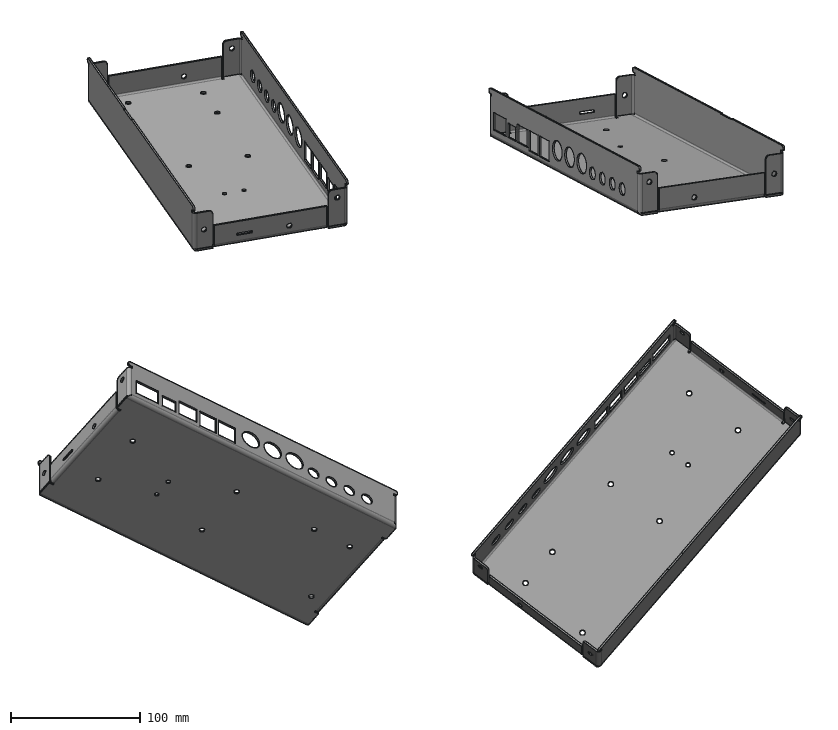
import cadquery as cq

LENGTH = 250.0
WIDTH = 127.0
HEIGHT = 39.5
SHEET = 1.5
BEND_RADIUS = 3.0
INNER_RADIUS = BEND_RADIUS - SHEET

FLANGE_WIDTH = 92.0
FLANGE_HEIGHT = 20.0
RELIEF_GAP = 1.4
RELIEF_DEPTH = 3.5

TAB_TOP = 33.5
TAB_FLOOR_GAP = 0.5
TAB_CORNER_RADIUS = 3.0
TAB_BOTTOM = SHEET + TAB_FLOOR_GAP
TAB_END = FLANGE_WIDTH / 2 + RELIEF_GAP

SLIT_HEIGHT = 1.75
SLIT_DEPTH = 3.5
EAR_RADIUS = 2.0
NOTCH_CENTER_X = -30.3
NOTCH_LENGTH = 17.5
NOTCH_DEPTH = 0.7

MOUNT_HOLE_DIAMETER = 4.2
MOUNT_HOLES = [
    (-106.0, 25.0),
    (-73.0, 25.0),
    (-1.0, 25.0),
    (95.5, 25.0),
    (-1.0, -23.5),
    (95.5, -23.5),
    (-110.2, -35.1),
]
SMALL_HOLE_DIAMETER = 3.4
SMALL_HOLES = [(49.0, 4.5), (49.0, -11.5)]

END_HOLE_DIAMETER = 4.2
END_HOLES = [(54.6, 26.0), (-54.6, 18.0), (15.3, 8.4)]

END_SLOT_CENTER = (-21.5, 8.8)
END_SLOT_LENGTH = 13.0
END_SLOT_HEIGHT = 2.0

SMALL_JACK_DIAMETER = 9.8
SMALL_JACK_Z = 14.3
SMALL_JACK_X = [-96.5, -80.0, -63.5, -47.0]
LARGE_JACK_DIAMETER = 16.0
LARGE_JACK_Z = 17.7
LARGE_JACK_X = [-29.3, -9.0, 11.3]
WINDOWS = [
    (25.5, 41.3, 5.4, 22.0),
    (43.5, 58.6, 5.6, 22.0),
    (61.5, 78.0, 7.6, 22.0),
    (80.8, 93.4, 7.6, 19.0),
    (97.0, 117.6, 7.4, 21.5),
]

HALF_LENGTH = LENGTH / 2
HALF_WIDTH = WIDTH / 2
CUT_MARGIN = 1.0


def box(x_range, y_range, z_range):
    """Box between the given (min, max) limits."""
    (x0, x1), (y0, y1), (z0, z1) = x_range, y_range, z_range
    return cq.Workplane("XY").box(x1 - x0, y1 - y0, z1 - z0, centered=False).translate((x0, y0, z0))


def both_ways(solid, plane):
    """The solid together with its mirror image."""
    return solid.union(solid.mirror(plane))


def rounded_prism(half_width):
    """Full-length block whose lower edges follow the bends along the long walls."""
    edge_radius = BEND_RADIUS - (HALF_WIDTH - half_width)
    block = cq.Workplane("XY").box(LENGTH, 2 * half_width, HEIGHT, centered=(True, True, False))
    return block.edges("|X and <Z").fillet(edge_radius)


def floor_and_walls():
    """U-shaped channel, the floor and both long walls, with its floor corners rounded in plan."""
    outside = rounded_prism(HALF_WIDTH)
    inside = rounded_prism(HALF_WIDTH - SHEET).translate((0, 0, SHEET))
    channel = outside.cut(inside)
    base = cq.Workplane("XY").box(LENGTH, WIDTH, TAB_BOTTOM, centered=(True, True, False))
    corner_waste = base.cut(base.edges("|Z").fillet(BEND_RADIUS))
    return channel.cut(corner_waste)


def round_ears(walls):
    """Round the upper and lower free corners of the ears at the wall ends."""
    for x in (-HALF_LENGTH, HALF_LENGTH):
        region = cq.selectors.BoxSelector(
            (x - CUT_MARGIN, -WIDTH, TAB_TOP + CUT_MARGIN),
            (x + CUT_MARGIN, WIDTH, HEIGHT + CUT_MARGIN),
        )
        walls = walls.edges("|Y").edges(region).fillet(EAR_RADIUS)
    return walls


def end_reliefs():
    """Floor cut away at the +X end where the flange and its bend reliefs go."""
    return box(
        (HALF_LENGTH - RELIEF_DEPTH, HALF_LENGTH + CUT_MARGIN),
        (-TAB_END, TAB_END),
        (-CUT_MARGIN, HEIGHT),
    )


def wall_end_reliefs():
    """Material cut away at the +X, +Y corner for the vertical bend and the slit above it."""
    y_range = (HALF_WIDTH - BEND_RADIUS, HALF_WIDTH + CUT_MARGIN)
    bend = box((HALF_LENGTH - BEND_RADIUS, HALF_LENGTH + CUT_MARGIN), y_range, (TAB_BOTTOM, TAB_TOP))
    slit = box(
        (HALF_LENGTH - SLIT_DEPTH, HALF_LENGTH + CUT_MARGIN),
        y_range,
        (TAB_TOP, TAB_TOP + SLIT_HEIGHT),
    )
    return bend.union(slit)


def end_flange():
    """Flange at the +X end, bent up from the floor."""
    x_start = HALF_LENGTH - RELIEF_DEPTH
    x_bend = HALF_LENGTH - BEND_RADIUS
    x_inner = HALF_LENGTH - SHEET
    profile = (
        cq.Workplane("XZ")
        .moveTo(x_start, 0)
        .lineTo(x_bend, 0)
        .radiusArc((HALF_LENGTH, BEND_RADIUS), -BEND_RADIUS)
        .lineTo(HALF_LENGTH, FLANGE_HEIGHT)
        .lineTo(x_inner, FLANGE_HEIGHT)
        .lineTo(x_inner, BEND_RADIUS)
        .radiusArc((x_bend, SHEET), INNER_RADIUS)
        .lineTo(x_start, SHEET)
        .close()
    )
    return profile.extrude(FLANGE_WIDTH / 2, both=True)


def corner_tab():
    """Tab at the +X, +Y corner with the vertical bend that joins it to the long wall."""
    x_bend = HALF_LENGTH - BEND_RADIUS
    x_inner = HALF_LENGTH - SHEET
    y_bend = HALF_WIDTH - BEND_RADIUS
    y_inner = HALF_WIDTH - SHEET
    return (
        cq.Workplane("XY", origin=(0, 0, TAB_BOTTOM))
        .moveTo(HALF_LENGTH, TAB_END)
        .lineTo(HALF_LENGTH, y_bend)
        .radiusArc((x_bend, HALF_WIDTH), -BEND_RADIUS)
        .lineTo(x_bend, y_inner)
        .radiusArc((x_inner, y_bend), INNER_RADIUS)
        .lineTo(x_inner, TAB_END)
        .close()
        .extrude(TAB_TOP - TAB_BOTTOM)
        .edges("|X and <Y and >Z")
        .fillet(TAB_CORNER_RADIUS)
    )


def top_notch():
    """Shallow notch in the top edge of the -Y wall."""
    return box(
        (NOTCH_CENTER_X - NOTCH_LENGTH / 2, NOTCH_CENTER_X + NOTCH_LENGTH / 2),
        (-HALF_WIDTH - CUT_MARGIN, -HALF_WIDTH + SHEET + CUT_MARGIN),
        (HEIGHT - NOTCH_DEPTH, HEIGHT + CUT_MARGIN),
    )


def floor_holes(points, diameter):
    return cq.Workplane("XY").pushPoints(points).circle(diameter / 2).extrude(SHEET)


def end_holes():
    holes = cq.Workplane("YZ").pushPoints(END_HOLES).circle(END_HOLE_DIAMETER / 2)
    return holes.extrude(HALF_LENGTH, both=True)


def end_slot():
    slot = cq.Workplane("YZ").center(*END_SLOT_CENTER).slot2D(END_SLOT_LENGTH, END_SLOT_HEIGHT)
    return slot.extrude(HALF_LENGTH)


def jack_holes(x_positions, z, diameter):
    points = [(x, z) for x in x_positions]
    return cq.Workplane("XZ").pushPoints(points).circle(diameter / 2).extrude(-HALF_WIDTH)


def windows():
    y_range = (HALF_WIDTH - SHEET - CUT_MARGIN, HALF_WIDTH + CUT_MARGIN)
    cutters = cq.Workplane("XY")
    for x_min, x_max, z_min, z_max in WINDOWS:
        cutters = cutters.add(box((x_min, x_max), y_range, (z_min, z_max)))
    return cutters.combine()


tray = floor_and_walls()
tray = tray.cut(both_ways(end_reliefs(), "YZ"))
tray = tray.cut(both_ways(both_ways(wall_end_reliefs(), "XZ"), "YZ"))
tray = round_ears(tray)
tray = tray.union(both_ways(end_flange(), "YZ"))
tray = tray.union(both_ways(both_ways(corner_tab(), "XZ"), "YZ"))
tray = tray.cut(top_notch())
tray = tray.cut(floor_holes(MOUNT_HOLES, MOUNT_HOLE_DIAMETER))
tray = tray.cut(floor_holes(SMALL_HOLES, SMALL_HOLE_DIAMETER))
tray = tray.cut(end_holes())
tray = tray.cut(end_slot())
tray = tray.cut(jack_holes(SMALL_JACK_X, SMALL_JACK_Z, SMALL_JACK_DIAMETER))
tray = tray.cut(jack_holes(LARGE_JACK_X, LARGE_JACK_Z, LARGE_JACK_DIAMETER))
result = tray.cut(windows())